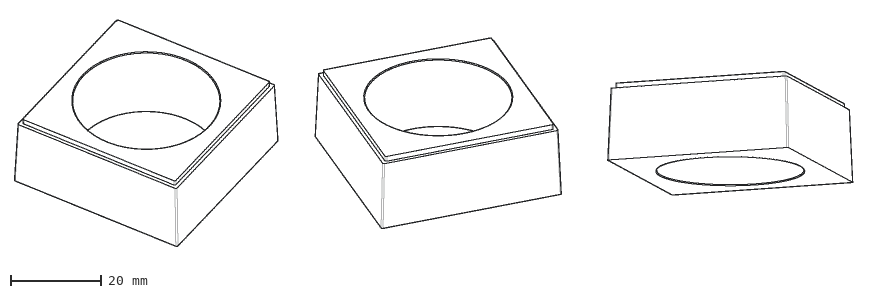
import cadquery as cq

base_side = 42.5
total_height = 17.5

shoulder_side = 41.35
lip_height = 1.25
body_height = total_height - lip_height
body_corner_radius = 0.35

lip_side = 39.7
lip_corner_radius = 0.35

bore_diameter = 32.55
bore_chamfer = 0.2


def rounded_square(side, corner_radius):
    """Square centred on the origin with rounded corners."""
    return cq.Sketch().rect(side, side).vertices().fillet(corner_radius)


def make_body():
    """Block that narrows from the base to the shoulder."""
    base = rounded_square(base_side, body_corner_radius)
    shoulder = rounded_square(shoulder_side, body_corner_radius)
    return (
        cq.Workplane("XY")
        .placeSketch(base, shoulder.moved(cq.Location(cq.Vector(0, 0, body_height))))
        .loft(ruled=True)
    )


def make_lip():
    """Straight-sided step standing on the shoulder."""
    return (
        cq.Workplane("XY", origin=(0, 0, body_height))
        .placeSketch(rounded_square(lip_side, lip_corner_radius))
        .extrude(lip_height)
    )


def cut_bore(block):
    """Cut the through bore and chamfer both of its rims."""
    bored = block.faces(">Z").workplane(origin=(0, 0, 0)).hole(bore_diameter)
    bore_rims = bored.faces(">Z or <Z").edges("%CIRCLE").edges(cq.selectors.RadiusNthSelector(-1))
    return bore_rims.chamfer(bore_chamfer)


result = cut_bore(make_body().union(make_lip()))